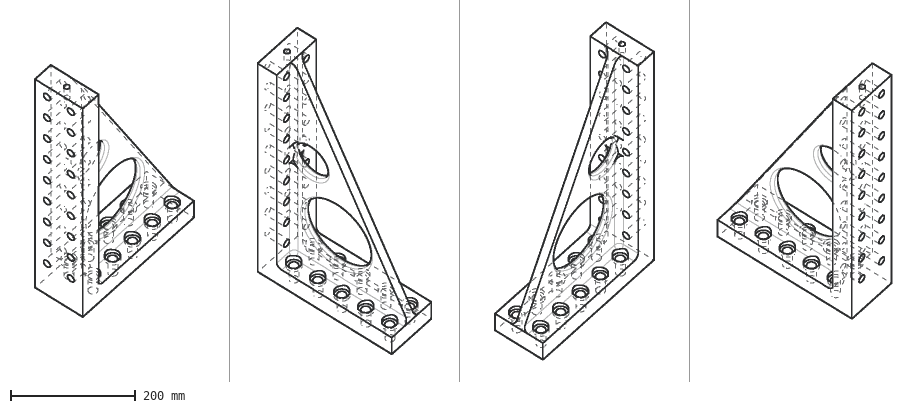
import cadquery as cq
import math

width = 100.0
depth = 280.0
height = 500.0
plate_thickness = 40.0
inner_fillet = 10.0

rib_thickness = 17.0
window_edge_fillet = 5.0
large_window = (130.0, 145.0, 140.0)
small_window = (75.0, 280.0, 70.0)

hole_pitch = 50.0
hole_columns = (-hole_pitch / 2, hole_pitch / 2)
end_margin = 25.0

wall_hole_diameter = 14.0
wall_hole_rows = 9

base_hole_diameter = 16.0
base_hole_rows = 5
counterbore_diameter = 26.0
counterbore_depth = 7.5

lifting_hole_diameter = 10.0
lifting_hole_depth = 25.0
drill_point_angle = 118.0


def make_blank():
    """Full-width block whose back slopes from the base end up to the top of the wall."""
    outline = [
        (0, 0),
        (depth, 0),
        (depth, plate_thickness),
        (plate_thickness, height),
        (0, height),
    ]
    return cq.Workplane("YZ").polyline(outline).close().extrude(width / 2, both=True)


def make_side_pocket(side):
    """Space beside the rib, rounded where the wall, the base and the rib meet; side is -1 or 1."""
    corner = (side * rib_thickness / 2, plate_thickness, plate_thickness)
    pocket = cq.Workplane("XY").box(width, depth, height, centered=(True, False, False))
    pocket = pocket.translate((corner[0] + side * width / 2, corner[1], corner[2]))
    rib_face = "<X" if side > 0 else ">X"
    inner_edges = pocket.edges(f"({rib_face} and <Y) or ({rib_face} and <Z) or (<Y and <Z)")
    return inner_edges.fillet(inner_fillet)


def make_window_cutter(y, z, diameter):
    """Bore through the rib, flared by a rounding at both rib faces."""
    half = rib_thickness / 2
    bore = diameter / 2
    rounded = bore + window_edge_fillet
    straight = half - window_edge_fillet
    ease = window_edge_fillet * (1 - 0.5**0.5)
    profile = (
        cq.Workplane("XY")
        .moveTo(-half - inner_fillet, 0)
        .lineTo(-half - inner_fillet, rounded)
        .lineTo(-half, rounded)
        .threePointArc((-half + ease, bore + ease), (-straight, bore))
        .lineTo(straight, bore)
        .threePointArc((half - ease, bore + ease), (half, rounded))
        .lineTo(half + inner_fillet, rounded)
        .lineTo(half + inner_fillet, 0)
        .close()
    )
    cutter = profile.revolve(360, (0, 0, 0), (1, 0, 0))
    cutter = cutter.rotate((0, 0, 0), (1, 0, 0), 180).translate((0, y, z))
    beyond_wall = cq.Workplane("XY").box(width, depth, height, centered=(True, False, False))
    return cutter.intersect(beyond_wall.translate((0, plate_thickness, 0)))


def make_wall_holes():
    first_z = height - end_margin - (wall_hole_rows - 1) * hole_pitch
    centers = [(x, first_z + row * hole_pitch) for x in hole_columns for row in range(wall_hole_rows)]
    return (
        cq.Workplane("XZ")
        .pushPoints(centers)
        .circle(wall_hole_diameter / 2)
        .extrude(-plate_thickness - inner_fillet)
    )


def make_base_holes():
    first_y = depth - end_margin - (base_hole_rows - 1) * hole_pitch
    centers = [(x, first_y + row * hole_pitch) for x in hole_columns for row in range(base_hole_rows)]
    bores = cq.Workplane("XY").pushPoints(centers).circle(base_hole_diameter / 2).extrude(plate_thickness)
    counterbores = (
        cq.Workplane("XY", origin=(0, 0, plate_thickness - counterbore_depth))
        .pushPoints(centers)
        .circle(counterbore_diameter / 2)
        .extrude(counterbore_depth + inner_fillet)
    )
    return bores.union(counterbores)


def make_lifting_hole():
    """Blind hole with a drill point, on the middle of the wall's top end."""
    radius = lifting_hole_diameter / 2
    point_length = radius / math.tan(math.radians(drill_point_angle / 2))
    profile = [
        (0, 0),
        (radius, 0),
        (radius, -lifting_hole_depth),
        (0, -lifting_hole_depth - point_length),
    ]
    hole = cq.Workplane("XZ").polyline(profile).close().revolve(360, (0, 0, 0), (0, 1, 0))
    return hole.translate((0, plate_thickness / 2, height))


result = make_blank()
for side in (-1, 1):
    result = result.cut(make_side_pocket(side))
for y, z, diameter in (large_window, small_window):
    result = result.cut(make_window_cutter(y, z, diameter))
result = result.cut(make_wall_holes())
result = result.cut(make_base_holes())
result = result.cut(make_lifting_hole())